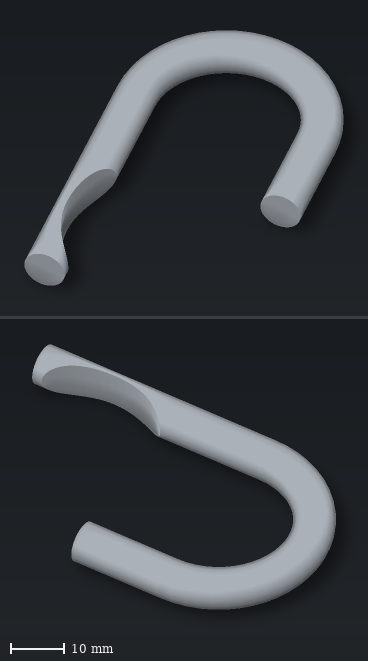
import cadquery as cq

overall_length = 71.0
overall_width = 44.0
rod_diameter = 8.0
short_leg_length = 19.0
notch_radius = 19.0
notch_center_from_end = 15.0

rod_radius = rod_diameter / 2
outer_bend_radius = overall_width / 2
bend_radius = outer_bend_radius - rod_radius
long_leg_length = overall_length - outer_bend_radius


def make_hook():
    """Round rod swept along a long leg, a half-circle bend and a short leg."""
    path = (
        cq.Workplane("XY")
        .moveTo(-bend_radius, -long_leg_length)
        .lineTo(-bend_radius, 0)
        .threePointArc((0, bend_radius), (bend_radius, 0))
        .lineTo(bend_radius, -short_leg_length)
    )
    long_leg_end = cq.Plane(
        origin=(-bend_radius, -long_leg_length, 0), xDir=(1, 0, 0), normal=(0, 1, 0)
    )
    return cq.Workplane(long_leg_end).circle(rod_radius).sweep(path)


def make_notch_cutter():
    """Upright cylinder on the hook's centre line that bites into the long leg."""
    return (
        cq.Workplane("XY")
        .center(0, notch_center_from_end - long_leg_length)
        .circle(notch_radius)
        .extrude(rod_diameter, both=True)
    )


result = make_hook().cut(make_notch_cutter())